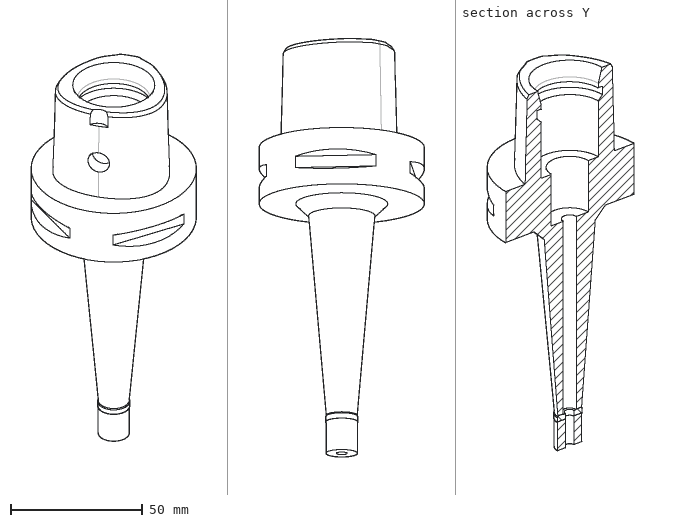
import cadquery as cq
import math


total_length = 158.0
taper_height = 37.9
bottom_z = taper_height - total_length

taper_base_radius = 44.4 / 2
taper_top_radius = 42.5 / 2
lobe_offset = 1.3
lobe_curve_steps = 12
rim_chamfer_height = 1.6
rim_chamfer_width = 1.0

flange_radius = 31.52
flange_height = 22.1
groove_count = 4
groove_first_angle = 45.0
groove_depth_below_face = 12.2
groove_floor_distance = 27.5
groove_floor_height = 4.5
groove_flare = 1.6

neck_top_radius = 17.5
neck_height = 4.7
shank_top_radius = 12.6
shank_end_radius = 11.8 / 2

head_radius = 6.0
head_length = 12.3
collar_radius = 6.2
collar_length = 2.5
collar_bevel_height = 0.5

mouth_radius = 15.6
bore_radius = 13.9
mouth_depth = 6.3
clamp_groove_top_depth = 8.4
clamp_groove_bottom_depth = 13.9
clamp_groove_radius = 16.0
clamp_groove_bevel = clamp_groove_radius - bore_radius
bore_depth = taper_height
thread_hole_radius = 9.0
thread_hole_depth = taper_height + flange_height
coolant_radius = 3.2
tip_coolant_radius = 2.0

notch_radius = 4.3
notch_depth = 6.3
notch_axis_distance = 22.3
side_hole_radius = 4.3
side_hole_depth_below_rim = 22.5
side_hole_floor_distance = 14.4

flange_bottom_z = -flange_height
neck_bottom_z = flange_bottom_z - neck_height
collar_bottom_z = bottom_z + head_length
collar_top_z = collar_bottom_z + collar_length


def lobed_section(radius, z):
    """Closed three-lobed wire: a flat side toward -Y and a lobe toward +Y."""
    half_points = []
    for step in range(lobe_curve_steps + 1):
        angle = math.pi * step / lobe_curve_steps
        x = radius * math.sin(angle) + lobe_offset * math.sin(2 * angle)
        y = lobe_offset * math.cos(2 * angle) - radius * math.cos(angle)
        half_points.append(cq.Vector(x, y, z))
    start_and_end_directions = [cq.Vector(1, 0, 0), cq.Vector(-1, 0, 0)]
    right_half = cq.Edge.makeSpline(half_points, tangents=start_and_end_directions)
    return cq.Wire.assembleEdges([right_half, right_half.mirror("YZ")])


def make_polygon_taper():
    chamfer_z = taper_height - rim_chamfer_height
    base = lobed_section(taper_base_radius, 0)
    below_chamfer = lobed_section(taper_top_radius, chamfer_z)
    rim = lobed_section(taper_top_radius - rim_chamfer_width, taper_height)
    return cq.Workplane(cq.Solid.makeLoft([base, below_chamfer, rim], True))


def make_flange_and_shank():
    profile = (
        cq.Workplane("XZ")
        .moveTo(0, 0)
        .lineTo(flange_radius, 0)
        .lineTo(flange_radius, flange_bottom_z)
        .lineTo(neck_top_radius, flange_bottom_z)
        .lineTo(shank_top_radius, neck_bottom_z)
        .lineTo(shank_end_radius, collar_top_z)
        .lineTo(0, collar_top_z)
        .close()
    )
    return profile.revolve(360, (0, 0), (0, 1))


def make_bore():
    """Conical mouth, clamping groove, bore, threaded hole and coolant hole in one cutter."""
    top = taper_height
    profile = (
        cq.Workplane("XZ")
        .moveTo(0, top)
        .lineTo(mouth_radius, top)
        .lineTo(bore_radius, top - mouth_depth)
        .lineTo(bore_radius, top - clamp_groove_top_depth)
        .lineTo(clamp_groove_radius, top - clamp_groove_top_depth)
        .lineTo(clamp_groove_radius, top - clamp_groove_bottom_depth + clamp_groove_bevel)
        .lineTo(bore_radius, top - clamp_groove_bottom_depth)
        .lineTo(bore_radius, top - bore_depth)
        .lineTo(thread_hole_radius, top - bore_depth)
        .lineTo(thread_hole_radius, top - thread_hole_depth)
        .lineTo(coolant_radius, top - thread_hole_depth)
        .lineTo(coolant_radius, collar_top_z)
        .lineTo(0, collar_top_z)
        .close()
    )
    return profile.revolve(360, (0, 0), (0, 1))


def make_gripper_groove(angle):
    """Straight groove with a flat floor and flared sides, cut across the flange rim."""
    floor_half = groove_floor_height / 2
    rim_half = floor_half + groove_flare
    section = [
        (groove_floor_distance, -floor_half),
        (flange_radius, -rim_half),
        (flange_radius, rim_half),
        (groove_floor_distance, floor_half),
    ]
    groove = cq.Workplane("XZ").polyline(section).close().extrude(flange_radius, both=True)
    return groove.translate((0, 0, -groove_depth_below_face)).rotate((0, 0, 0), (0, 0, 1), angle)


def make_orientation_notch():
    notch = cq.Workplane().circle(notch_radius).extrude(notch_depth)
    return notch.translate((0, -notch_axis_distance, taper_height - notch_depth))


def make_side_hole():
    """Blind radial hole in the flat side of the taper, ending just short of the bore."""
    hole_z = taper_height - side_hole_depth_below_rim
    hole = cq.Workplane("XZ", origin=(0, -side_hole_floor_distance, hole_z))
    return hole.circle(side_hole_radius).extrude(taper_base_radius - side_hole_floor_distance)


def make_holder():
    holder = make_flange_and_shank().union(make_polygon_taper())
    holder = holder.cut(make_bore())
    for index in range(groove_count):
        angle = groove_first_angle + index * 360 / groove_count
        holder = holder.cut(make_gripper_groove(angle))
    return holder.cut(make_orientation_notch()).cut(make_side_hole())


def make_coolant_hole(bottom, length):
    return cq.Workplane().workplane(offset=bottom).circle(tip_coolant_radius).extrude(length)


def make_collar():
    """Ring under the shank, bevelled at the top to meet the shank end."""
    profile = (
        cq.Workplane("XZ")
        .moveTo(0, collar_bottom_z)
        .lineTo(collar_radius, collar_bottom_z)
        .lineTo(collar_radius, collar_top_z - collar_bevel_height)
        .lineTo(shank_end_radius, collar_top_z)
        .lineTo(0, collar_top_z)
        .close()
    )
    blank = profile.revolve(360, (0, 0), (0, 1))
    return blank.cut(make_coolant_hole(collar_bottom_z, collar_length))


def make_head():
    blank = cq.Workplane().workplane(offset=bottom_z).circle(head_radius).extrude(head_length)
    return blank.cut(make_coolant_hole(bottom_z, head_length))


holder = make_holder()
collar = make_collar()
head = make_head()

result = cq.Compound.makeCompound([holder.val(), collar.val(), head.val()])